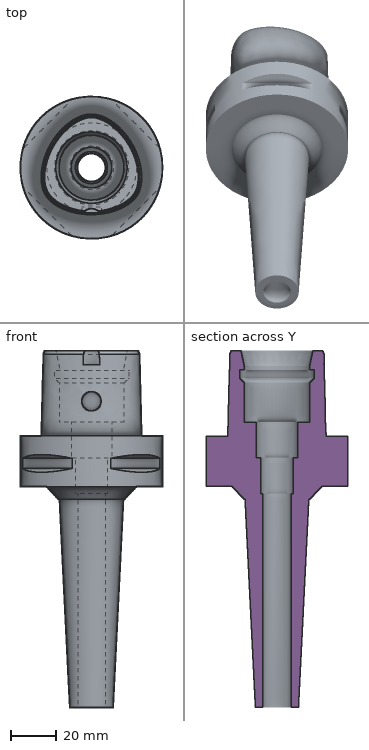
import cadquery as cq
import math

total_height = 158.0
taper_height = 37.8
flange_thickness = 22.5
collar_height = 5.7
flange_top = total_height - taper_height
flange_bottom = flange_top - flange_thickness
neck_top = flange_bottom - collar_height

flange_radius = 31.52
collar_top_radius = 19.9
collar_bottom_radius = 14.5
neck_top_radius = 14.2
tip_radius = 9.6

shank_base_radius = 22.3
shank_slope = 1 / 40
lobe_height = 1.5
lobe_count = 3
lobe_direction = math.pi / 2
chamfer_height = 1.6
chamfer_width = 0.6
shoulder_height = taper_height - chamfer_height
shank_shoulder_radius = shank_base_radius - shank_slope * shoulder_height
shank_top_radius = shank_shoulder_radius - chamfer_width
outline_points = 72

mouth_radius = 15.8
throat_radius = 14.4
mouth_depth = 6.8
groove_radius = 16.5
groove_top_depth = 8.7
groove_bottom_depth = 12.2
groove_flank_depth = 14.2
socket_radius = 9.0
thread_radius = 7.1
coolant_radius = 6.2
throat_depth = 31.6
socket_depth = 47.4
thread_depth = 63.2

notch_radius = 4.7
notch_depth = 6.3
notch_center_y = -22.9
cross_hole_radius = 4.3
cross_hole_z = total_height - 22.5
cross_hole_end = -17.4

slot_count = 4
slot_first_angle = 45
slot_floor_distance = 27.5
slot_floor_height = 4.5
slot_flank_slope = math.tan(math.radians(23))
slot_center_z = 108.0
slot_width = 2 * flange_radius


def shank_outline(mean_radius, z):
    """Closed curve whose support distance is mean_radius + lobe_height * cos(3 * angle)."""

    def point(t):
        angle = 2 * math.pi * t
        phase = lobe_count * (angle - lobe_direction)
        support = mean_radius + lobe_height * math.cos(phase)
        slide = -lobe_count * lobe_height * math.sin(phase)
        x = support * math.cos(angle) - slide * math.sin(angle)
        y = support * math.sin(angle) + slide * math.cos(angle)
        return cq.Vector(x, y, z)

    points = [point(i / outline_points) for i in range(outline_points)]
    return cq.Wire.assembleEdges([cq.Edge.makeSpline(points, periodic=True)])


def make_shank():
    base = shank_outline(shank_base_radius, flange_top)
    shoulder = shank_outline(shank_shoulder_radius, flange_top + shoulder_height)
    top = shank_outline(shank_top_radius, total_height)
    body = cq.Workplane(cq.Solid.makeLoft([base, shoulder], True))
    return body.union(cq.Workplane(cq.Solid.makeLoft([shoulder, top], True)))


def revolve_profile(points):
    """Revolve (radius, height) points about the vertical axis."""
    return cq.Workplane("XZ").polyline(points).close().revolve(360, (0, 0), (0, 1))


def make_turned_body():
    return revolve_profile([
        (0, 0),
        (tip_radius, 0),
        (neck_top_radius, neck_top),
        (collar_bottom_radius, neck_top),
        (collar_top_radius, flange_bottom),
        (flange_radius, flange_bottom),
        (flange_radius, flange_top),
        (0, flange_top),
    ])


def make_bore():
    return revolve_profile([
        (0, total_height),
        (mouth_radius, total_height),
        (throat_radius, total_height - mouth_depth),
        (throat_radius, total_height - groove_top_depth),
        (groove_radius, total_height - groove_top_depth),
        (groove_radius, total_height - groove_bottom_depth),
        (throat_radius, total_height - groove_flank_depth),
        (throat_radius, total_height - throat_depth),
        (socket_radius, total_height - throat_depth),
        (socket_radius, total_height - socket_depth),
        (thread_radius, total_height - socket_depth),
        (thread_radius, total_height - thread_depth),
        (coolant_radius, total_height - thread_depth),
        (coolant_radius, 0),
        (0, 0),
    ])


def make_notch():
    notch_floor = cq.Workplane("XY", origin=(0, notch_center_y, total_height - notch_depth))
    return notch_floor.circle(notch_radius).extrude(notch_depth)


def make_cross_hole():
    start = cq.Workplane("XZ", origin=(0, -flange_radius, cross_hole_z))
    return start.circle(cross_hole_radius).extrude(-(flange_radius + cross_hole_end))


def make_gripper_slot(angle):
    half_floor = slot_floor_height / 2
    depth = flange_radius - slot_floor_distance
    half_mouth = half_floor + depth * slot_flank_slope
    profile = [
        (slot_floor_distance, slot_center_z - half_floor),
        (flange_radius, slot_center_z - half_mouth),
        (flange_radius, slot_center_z + half_mouth),
        (slot_floor_distance, slot_center_z + half_floor),
    ]
    slot = cq.Workplane("XZ").polyline(profile).close().extrude(slot_width / 2, both=True)
    return slot.rotate((0, 0, 0), (0, 0, 1), angle)


result = make_turned_body().union(make_shank())
result = result.cut(make_bore()).cut(make_notch()).cut(make_cross_hole())
for i in range(slot_count):
    result = result.cut(make_gripper_slot(slot_first_angle + i * 360 / slot_count))